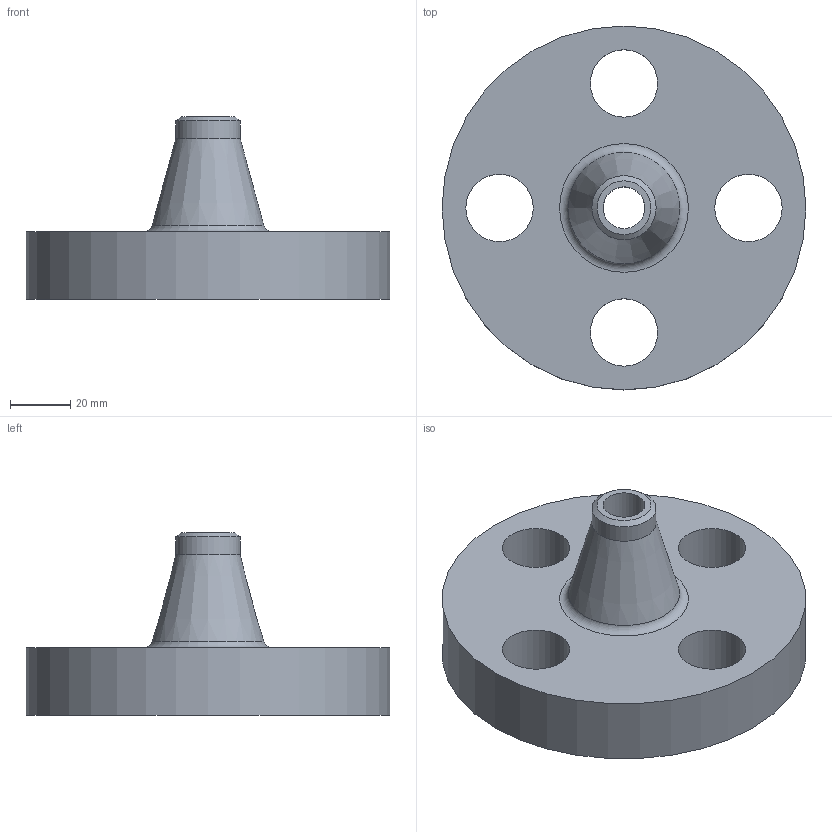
import cadquery as cq
import math

flange_diameter = 120.65
flange_thickness = 22.35

bolt_circle_diameter = 82.55
bolt_hole_diameter = 22.35
bolt_hole_count = 4

overall_height = 60.45
hub_base_diameter = 38.1
neck_diameter = 21.3
neck_length = 7.2
bevel_angle = 37.5
land_width = 2.0
hub_fillet_radius = 3.0
bore_diameter = 13.85


def revolved_body():
    """Disc, tapered hub and bevelled neck end as one turned profile."""
    flange_radius = flange_diameter / 2
    hub_radius = hub_base_diameter / 2
    neck_radius = neck_diameter / 2
    land_radius = bore_diameter / 2 + land_width
    bevel_height = (neck_radius - land_radius) * math.tan(math.radians(bevel_angle))
    neck_start = overall_height - neck_length
    profile = (
        cq.Workplane("XZ")
        .lineTo(flange_radius, 0)
        .lineTo(flange_radius, flange_thickness)
        .lineTo(hub_radius, flange_thickness)
        .lineTo(neck_radius, neck_start)
        .lineTo(neck_radius, overall_height - bevel_height)
        .lineTo(land_radius, overall_height)
        .lineTo(0, overall_height)
        .close()
    )
    return profile.revolve(360, (0, 0, 0), (0, 1, 0))


def blend_hub(body):
    """Round the inside corner between the hub and the flange face."""
    reach = hub_base_diameter / 2 + hub_fillet_radius
    corner_region = cq.selectors.BoxSelector(
        (-reach, -reach, flange_thickness - hub_fillet_radius),
        (reach, reach, flange_thickness + hub_fillet_radius),
        boundingbox=True,
    )
    return body.edges(corner_region).fillet(hub_fillet_radius)


def bore_cutter():
    """Straight bore through the full height."""
    return cq.Workplane("XY").circle(bore_diameter / 2).extrude(overall_height)


def bolt_hole_cutters():
    """Evenly spaced through holes, the first one on the +X axis."""
    return (
        cq.Workplane("XY")
        .polarArray(bolt_circle_diameter / 2, 0, 360, bolt_hole_count)
        .circle(bolt_hole_diameter / 2)
        .extrude(flange_thickness)
    )


result = blend_hub(revolved_body()).cut(bore_cutter()).cut(bolt_hole_cutters())